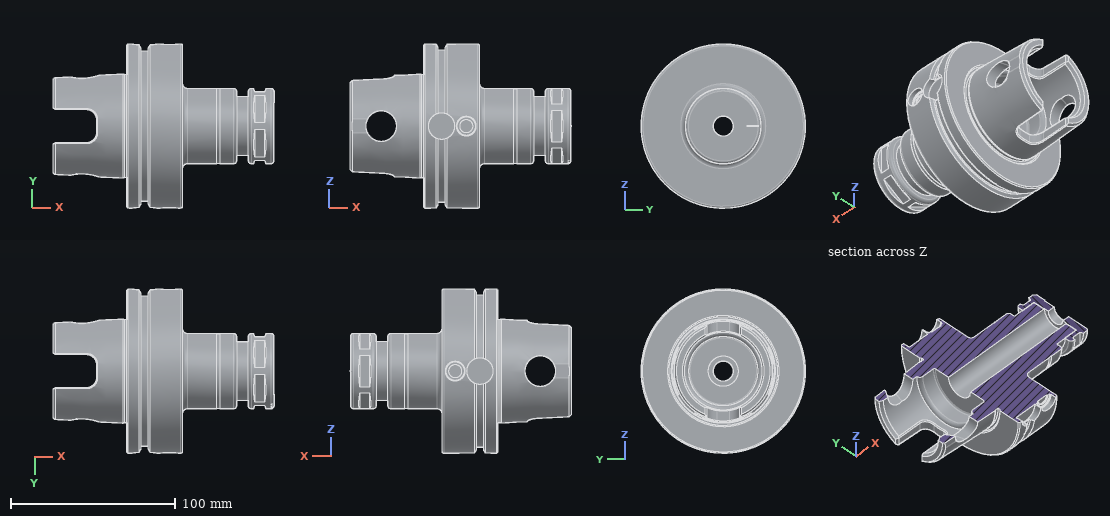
import cadquery as cq
import math


SHANK_END_RADIUS = 28.5
SHANK_CHAMFER_LENGTH = 1.8
TAPER_START_RADIUS = 29.8
TAPER_END_X = 42.8
TAPER_END_RADIUS = 31.7
NECK_RELIEF_START_X = 43.6
NECK_RELIEF_RADIUS = 31.5

FLANGE_START_X = 45.0
FLANGE_END_X = 79.0
FLANGE_RADIUS = 100.0 / 2
FLANGE_FRONT_CHAMFER = 0.8
FLANGE_BACK_FILLET = 1.2
FACE_RECESS_RADIUS = 33.9
FACE_RECESS_DEPTH = 0.8
GRIP_GROOVE_X = 55.82
GRIP_GROOVE_WIDTH = 4.0
GRIP_GROOVE_RADIUS = 46.5
GRIP_FLARE_WIDTH = 1.28
GRIP_FLARE_ANGLE = 30

COLLAR_RADIUS = 46.0 / 2
COLLAR_END_X = 111.9
COLLAR_ROOT_FILLET = 2.8
COLLAR_END_FILLET = 2.0
BAND_START_X = 99.6
BAND_WIDTH = 2.0
BAND_DEPTH = 0.1
NECK_RADIUS = 36.0 / 2

BORE_MOUTH_RADIUS = 24.8
BORE_RADIUS = 23.6
BORE_MOUTH_LENGTH = 2.4
INNER_BORE_RADIUS = 21.0
BORE_SHOULDER_X = 31.9
BORE_SHOULDER_FILLET = BORE_RADIUS - INNER_BORE_RADIUS
BORE_FLOOR_X = 44.7
BORE_FLOOR_FILLET = 0.8
AXIAL_HOLE_RADIUS = 18.4 / 2

SLOT_HALF_WIDTH = 10.0
SLOT_END_X = 26.6
SLOT_CORNER_RADIUS = 6.1
SLOT_MOUTH_FLARE = 1.1
SLOT_EDGE_CHAMFER = 0.7

CROSS_HOLE_X = 19.1
CROSS_HOLE_RADIUS = 18.5 / 2
CROSS_SLANT_OUTER_Y = 28.8
CROSS_SLANT_INNER_Y = 20.2
CROSS_SLANT_SHIFT = 5.4
SIDE_FLAT_DEPTH = 0.31

POCKET_X = GRIP_GROOVE_X
POCKET_RADIUS = 16.0 / 2
POCKET_FLOOR_Y = 45.2
RIM_HOLE_X = 70.9
RIM_HOLE_STEPS = ((12.0 / 2, 3.8), (11.2 / 2, 4.6), (8.0 / 2, 5.4))

NUT_START_X = 118.8
NUT_LENGTH = 15.7
NUT_RADIUS = COLLAR_RADIUS
NUT_BACK_FILLET = 2.2
NUT_FRONT_FILLET = 1.8
NUT_WALL = 5.4
NUT_HOLE_RADIUS = 12.0 / 2
FLAT_COUNT = 6
FLAT_APOTHEM = 20.9
FLAT_START_X = 122.8
FLAT_LENGTH = 6.1
FLAT_WALL_SLOPE = 0.35
MARK_INNER_Y = 14.3
MARK_OUTER_Y = 21.3
MARK_WIDTH = 0.5
OVERALL_LENGTH = 135.0

MARGIN = 0.1

NUT_END_X = NUT_START_X + NUT_LENGTH
NECK_END_X = NUT_END_X - NUT_WALL


def tan_deg(angle):
    return math.tan(math.radians(angle))


def cylinder_x(radius, start, end):
    return cq.Workplane("YZ", origin=(start, 0, 0)).circle(radius).extrude(end - start)


def holder_blank():
    """Solid of revolution with the taper shank, flange, collar and neck."""
    flare_height = GRIP_FLARE_WIDTH / tan_deg(GRIP_FLARE_ANGLE)
    groove_start = GRIP_GROOVE_X - GRIP_GROOVE_WIDTH / 2
    groove_end = GRIP_GROOVE_X + GRIP_GROOVE_WIDTH / 2
    recess_floor_x = FLANGE_START_X + FACE_RECESS_DEPTH
    return (
        cq.Workplane("XY")
        .moveTo(0, 0)
        .lineTo(0, SHANK_END_RADIUS)
        .lineTo(SHANK_CHAMFER_LENGTH, TAPER_START_RADIUS)
        .lineTo(TAPER_END_X, TAPER_END_RADIUS)
        .lineTo(NECK_RELIEF_START_X, NECK_RELIEF_RADIUS)
        .lineTo(recess_floor_x, NECK_RELIEF_RADIUS)
        .lineTo(recess_floor_x, FACE_RECESS_RADIUS - FACE_RECESS_DEPTH)
        .lineTo(FLANGE_START_X, FACE_RECESS_RADIUS)
        .lineTo(FLANGE_START_X, FLANGE_RADIUS - FLANGE_FRONT_CHAMFER)
        .lineTo(FLANGE_START_X + FLANGE_FRONT_CHAMFER, FLANGE_RADIUS)
        .lineTo(groove_start - GRIP_FLARE_WIDTH, FLANGE_RADIUS)
        .lineTo(groove_start, FLANGE_RADIUS - flare_height)
        .lineTo(groove_start, GRIP_GROOVE_RADIUS)
        .lineTo(groove_end, GRIP_GROOVE_RADIUS)
        .lineTo(groove_end, FLANGE_RADIUS - flare_height)
        .lineTo(groove_end + GRIP_FLARE_WIDTH, FLANGE_RADIUS)
        .lineTo(FLANGE_END_X - FLANGE_BACK_FILLET, FLANGE_RADIUS)
        .radiusArc((FLANGE_END_X, FLANGE_RADIUS - FLANGE_BACK_FILLET), FLANGE_BACK_FILLET)
        .lineTo(FLANGE_END_X, COLLAR_RADIUS + COLLAR_ROOT_FILLET)
        .radiusArc((FLANGE_END_X + COLLAR_ROOT_FILLET, COLLAR_RADIUS), -COLLAR_ROOT_FILLET)
        .lineTo(BAND_START_X, COLLAR_RADIUS)
        .lineTo(BAND_START_X, COLLAR_RADIUS - BAND_DEPTH)
        .lineTo(BAND_START_X + BAND_WIDTH, COLLAR_RADIUS - BAND_DEPTH)
        .lineTo(BAND_START_X + BAND_WIDTH, COLLAR_RADIUS)
        .lineTo(COLLAR_END_X - COLLAR_END_FILLET, COLLAR_RADIUS)
        .radiusArc((COLLAR_END_X, COLLAR_RADIUS - COLLAR_END_FILLET), COLLAR_END_FILLET)
        .lineTo(COLLAR_END_X, NECK_RADIUS)
        .lineTo(NECK_END_X, NECK_RADIUS)
        .lineTo(NECK_END_X, 0)
        .close()
        .revolve(360, (0, 0, 0), (1, 0, 0))
    )


def clamping_bore():
    """Cutter for the stepped bore: mouth, shouldered bore and axial hole."""
    return (
        cq.Workplane("XY")
        .moveTo(0, 0)
        .lineTo(0, BORE_MOUTH_RADIUS)
        .lineTo(BORE_MOUTH_LENGTH, BORE_RADIUS)
        .lineTo(BORE_SHOULDER_X, BORE_RADIUS)
        .radiusArc((BORE_SHOULDER_X + BORE_SHOULDER_FILLET, INNER_BORE_RADIUS), -BORE_SHOULDER_FILLET)
        .lineTo(BORE_FLOOR_X - BORE_FLOOR_FILLET, INNER_BORE_RADIUS)
        .radiusArc((BORE_FLOOR_X, INNER_BORE_RADIUS - BORE_FLOOR_FILLET), BORE_FLOOR_FILLET)
        .lineTo(BORE_FLOOR_X, AXIAL_HOLE_RADIUS)
        .lineTo(NECK_END_X, AXIAL_HOLE_RADIUS)
        .lineTo(NECK_END_X, 0)
        .close()
        .revolve(360, (0, 0, 0), (1, 0, 0))
    )


def drive_slots():
    """Cutter for both drive slots, open at the shank end with a flared mouth."""
    mouth_half_width = SLOT_HALF_WIDTH + SLOT_MOUTH_FLARE
    corner_x = SLOT_END_X - SLOT_CORNER_RADIUS
    end_half_width = SLOT_HALF_WIDTH - SLOT_CORNER_RADIUS
    return (
        cq.Workplane("XY")
        .moveTo(0, -mouth_half_width)
        .lineTo(SHANK_CHAMFER_LENGTH, -SLOT_HALF_WIDTH)
        .lineTo(corner_x, -SLOT_HALF_WIDTH)
        .radiusArc((SLOT_END_X, -end_half_width), -SLOT_CORNER_RADIUS)
        .lineTo(SLOT_END_X, end_half_width)
        .radiusArc((corner_x, SLOT_HALF_WIDTH), -SLOT_CORNER_RADIUS)
        .lineTo(SHANK_CHAMFER_LENGTH, SLOT_HALF_WIDTH)
        .lineTo(0, mouth_half_width)
        .close()
        .extrude(TAPER_END_RADIUS, both=True)
    )


def is_slot_edge(edge):
    """True for the slot edges that run along the taper or the bore behind the flared mouth."""
    box = edge.BoundingBox()
    behind_mouth = box.xmin > SHANK_CHAMFER_LENGTH - MARGIN and box.xmax < SLOT_END_X + MARGIN
    in_slot = max(-box.ymin, box.ymax) < SLOT_HALF_WIDTH + MARGIN
    on_slot_end = box.xmin > SLOT_END_X - MARGIN and box.ylen > SLOT_HALF_WIDTH / 2
    along_slot = box.xlen > SLOT_CORNER_RADIUS / 2
    return behind_mouth and in_slot and (along_slot or on_slot_end)


def chamfer_slot_edges(body):
    edges = [edge for edge in body.edges().vals() if is_slot_edge(edge)]
    return body.newObject(edges).chamfer(SLOT_EDGE_CHAMFER)


def side_flat(side):
    """Cutter for the flat parallel to the taper between the shank end and the cross hole."""
    slope = (TAPER_END_RADIUS - TAPER_START_RADIUS) / (TAPER_END_X - SHANK_CHAMFER_LENGTH)
    flat_y_at_end = TAPER_START_RADIUS - SIDE_FLAT_DEPTH - slope * SHANK_CHAMFER_LENGTH
    flat_y_at_hole = flat_y_at_end + slope * CROSS_HOLE_X
    return (
        cq.Workplane("XY")
        .moveTo(0, side * flat_y_at_end)
        .lineTo(CROSS_HOLE_X, side * flat_y_at_hole)
        .lineTo(CROSS_HOLE_X, side * FLANGE_RADIUS)
        .lineTo(0, side * FLANGE_RADIUS)
        .close()
        .extrude(CROSS_HOLE_RADIUS, both=True)
    )


def cross_hole():
    return (
        cq.Workplane("XZ", origin=(CROSS_HOLE_X, 0, 0))
        .circle(CROSS_HOLE_RADIUS)
        .extrude(FLANGE_RADIUS, both=True)
    )


def cross_hole_slant(side):
    """Cutter that slants the -X side of the cross hole towards the shank end on its way inwards."""
    return (
        cq.Workplane("XZ", origin=(CROSS_HOLE_X, side * CROSS_SLANT_OUTER_Y, 0))
        .circle(CROSS_HOLE_RADIUS)
        .workplane(offset=side * (CROSS_SLANT_OUTER_Y - CROSS_SLANT_INNER_Y))
        .center(-CROSS_SLANT_SHIFT, 0)
        .circle(CROSS_HOLE_RADIUS)
        .loft()
    )


def rim_cylinder(side, x, radius, floor_y):
    """Radial cutter from the flange rim in to the given distance from the axis."""
    return (
        cq.Workplane("XZ", origin=(x, side * floor_y, 0))
        .circle(radius)
        .extrude(-side * (FLANGE_RADIUS - floor_y))
    )


def make_holder():
    holder = holder_blank().cut(clamping_bore()).cut(drive_slots())
    holder = chamfer_slot_edges(holder)
    holder = holder.cut(cross_hole())
    for side in (-1, 1):
        holder = holder.cut(side_flat(side))
        holder = holder.cut(cross_hole_slant(side))
        holder = holder.cut(rim_cylinder(side, POCKET_X, POCKET_RADIUS, POCKET_FLOOR_Y))
        for radius, depth in RIM_HOLE_STEPS:
            holder = holder.cut(rim_cylinder(side, RIM_HOLE_X, radius, FLANGE_RADIUS - depth))
    return holder


def wrench_flat(index):
    """Cutter for one wrench flat whose end walls lean outwards."""
    depth = NUT_RADIUS - FLAT_APOTHEM
    lean = FLAT_WALL_SLOPE * depth
    end_x = FLAT_START_X + FLAT_LENGTH
    return (
        cq.Workplane("XY")
        .moveTo(FLAT_START_X, FLAT_APOTHEM)
        .lineTo(end_x, FLAT_APOTHEM)
        .lineTo(end_x + lean, NUT_RADIUS)
        .lineTo(FLAT_START_X - lean, NUT_RADIUS)
        .close()
        .extrude(NUT_RADIUS, both=True)
        .rotate((0, 0, 0), (1, 0, 0), index * 360 / FLAT_COUNT)
    )


def make_nut():
    nut = cylinder_x(NUT_RADIUS, NUT_START_X, NUT_END_X)
    nut = nut.faces("<X").edges().fillet(NUT_BACK_FILLET)
    nut = nut.faces(">X").edges().fillet(NUT_FRONT_FILLET)
    nut = nut.cut(cylinder_x(NECK_RADIUS, NUT_START_X, NECK_END_X))
    nut = nut.cut(cylinder_x(NUT_HOLE_RADIUS, NECK_END_X, NUT_END_X))
    for index in range(FLAT_COUNT):
        nut = nut.cut(wrench_flat(index))
    mark_height = OVERALL_LENGTH - NUT_END_X
    index_mark = cq.Workplane("XY").box(
        mark_height, MARK_OUTER_Y - MARK_INNER_Y, MARK_WIDTH, centered=(False, False, True)
    )
    return nut.union(index_mark.translate((NUT_END_X, MARK_INNER_Y, 0)))


holder = make_holder()
nut = make_nut()

result = cq.Compound.makeCompound([holder.val(), nut.val()])